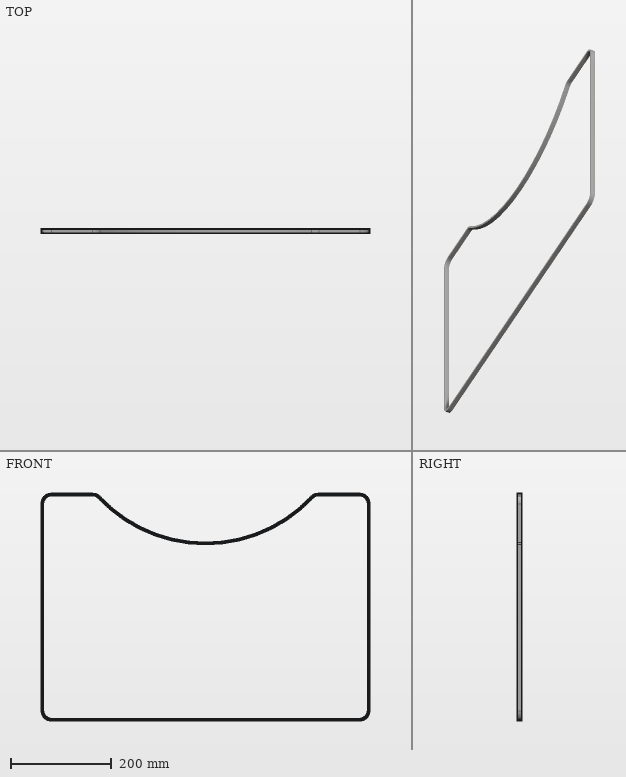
import cadquery as cq
import math

width = 650.0
thickness = 9.0
height = 450.0

strip_width = 4.0
corner_radius = 20.0
shoulder_radius = 20.0

dip_opening = 430.0
dip_depth = 97.0
dip_radius = ((dip_opening / 2) ** 2 + dip_depth**2) / (2 * dip_depth)

dip_center_z = height / 2 - dip_depth + dip_radius
shoulder_center_z = height / 2 - shoulder_radius

centers_rise = dip_center_z - shoulder_center_z
shoulder_x = math.sqrt((dip_radius + shoulder_radius) ** 2 - centers_rise**2)
tangent_angle = math.atan2(shoulder_x, centers_rise)


def dip_plate(inset):
    """Plate with the dip and its shoulders, its edge moved inward from the frame edge by inset."""
    half_width = width / 2 - inset
    top = height / 2 - inset
    dip = dip_radius + inset
    shoulder = shoulder_radius - inset

    tangent_x = dip * math.sin(tangent_angle)
    tangent_z = dip_center_z - dip * math.cos(tangent_angle)

    shoulder_mid_x = shoulder_x - shoulder * math.sin(tangent_angle / 2)
    shoulder_mid_z = shoulder_center_z + shoulder * math.cos(tangent_angle / 2)

    return (
        cq.Workplane("XZ")
        .moveTo(-half_width, -top)
        .lineTo(half_width, -top)
        .lineTo(half_width, top)
        .lineTo(shoulder_x, top)
        .threePointArc((shoulder_mid_x, shoulder_mid_z), (tangent_x, tangent_z))
        .threePointArc((0, dip_center_z - dip), (-tangent_x, tangent_z))
        .threePointArc((-shoulder_mid_x, shoulder_mid_z), (-shoulder_x, top))
        .lineTo(-half_width, top)
        .close()
        .extrude(thickness / 2, both=True)
    )


def rounded_plate(inset):
    """Dip plate with its four corners rounded, concentric with the frame corners."""
    return dip_plate(inset).edges("|Y and (<X or >X)").fillet(corner_radius - inset)


result = rounded_plate(0).cut(rounded_plate(strip_width))